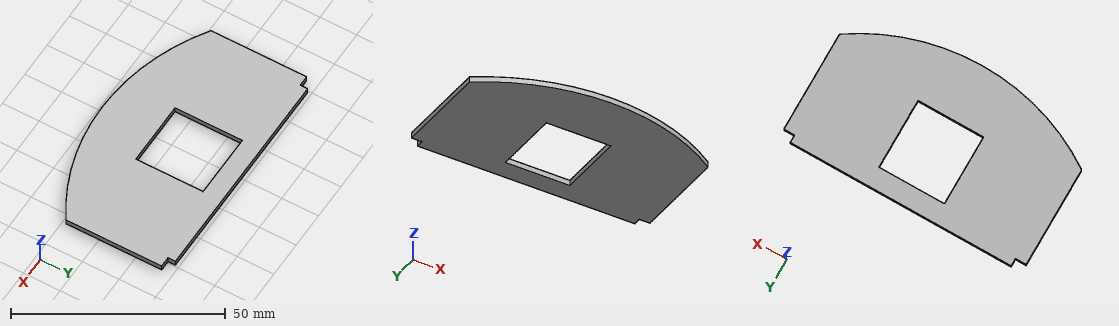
import cadquery as cq

width = 65.0
depth = 38.1
thickness = 1.5

bulge = 10.0

notch_width = 2.85
notch_depth = 2.0

window_width = 17.55
window_depth = 18.3
window_setback = 5.15

half_width = width / 2
back_y = depth / 2
front_y = -depth / 2
side_front_y = front_y + bulge


def make_plate():
    """Plate with straight sides and an arched front edge."""
    return (
        cq.Workplane("XY")
        .moveTo(-half_width, back_y)
        .lineTo(-half_width, side_front_y)
        .threePointArc((0, front_y), (half_width, side_front_y))
        .lineTo(half_width, back_y)
        .close()
        .extrude(thickness)
    )


def through_cutter(size_x, size_y, center_x, center_y):
    """Rectangular block spanning the plate thickness."""
    return (
        cq.Workplane("XY")
        .center(center_x, center_y)
        .rect(size_x, size_y)
        .extrude(thickness)
    )


result = make_plate()

for side in (-1, 1):
    notch_x = side * (half_width - notch_width / 2)
    notch_y = back_y - notch_depth / 2
    result = result.cut(through_cutter(notch_width, notch_depth, notch_x, notch_y))

window_y = back_y - window_setback - window_depth / 2
result = result.cut(through_cutter(window_width, window_depth, 0, window_y))